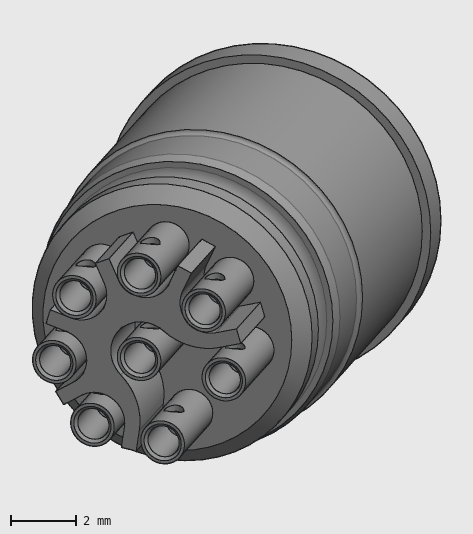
import cadquery as cq
import math


total_length = 14.75
flange_start = 13.66
body_start = 7.35
body_relief_radius = 0.15
taper_end = 5.45
sleeve_start = 5.05
rim_back = 4.16
insulator_face = 3.0
spider_end = 0.45

flange_diameter = 10.45
body_diameter = 9.9
sleeve_diameter = 9.6
groove_diameter = 8.0
rim_diameter = 9
sleeve_taper_angle = 15

pin_diameter = 1.4
bore_diameter = 1.0
bore_mouth_diameter = 1.2
bore_depth = 2.0
bore_floor_angle = 160
solder_hole_diameter = 0.6
solder_hole_position = 1.2
pin_circle_diameter = 5.5
pin_circle_radius = pin_circle_diameter / 2
pin_spacing = 49
top_pin_angle = 90
outer_pin_count = 7
first_pin_step = -2
pin_root_overlap = 0.3

pocket_radius = 0.9
spider_radius = 3.2
center_clearance_radius = 1.05
blend_radius = 2.0
first_arm_angle = top_pin_angle - 1.5 * pin_spacing
pocket_count = 5

arm_half_width = pin_circle_radius * math.sin(math.radians(pin_spacing / 2)) - pocket_radius
arm_tip = math.sqrt(spider_radius**2 - arm_half_width**2)


def polar(radius, angle):
    """Point in the X-Z plane at an angle from +X toward +Z."""
    return radius * math.cos(math.radians(angle)), radius * math.sin(math.radians(angle))


def arm_point(angle, along, across):
    """Point in the X-Z plane placed along and counterclockwise across an arm."""
    along_x, along_z = polar(along, angle)
    across_x, across_z = polar(across, angle + 90)
    return along_x + across_x, along_z + across_z


def make_shell():
    """Solid of revolution: flange, body, sleeve, sealing groove and chamfered rim."""
    flange_radius = flange_diameter / 2
    body_radius = body_diameter / 2
    sleeve_radius = sleeve_diameter / 2
    groove_radius = groove_diameter / 2
    rim_radius = rim_diameter / 2
    rim_chamfer = rim_radius - groove_radius
    groove_fillet = rim_chamfer
    taper_drop = (taper_end - sleeve_start) * math.tan(math.radians(sleeve_taper_angle))
    diagonal = math.sqrt(0.5)
    relief = body_relief_radius
    profile = (
        cq.Workplane("XY")
        .moveTo(0, insulator_face)
        .lineTo(groove_radius, insulator_face)
        .lineTo(rim_radius, insulator_face + rim_chamfer)
        .lineTo(rim_radius, rim_back)
        .lineTo(groove_radius, rim_back)
        .lineTo(groove_radius, sleeve_start - groove_fillet)
        .threePointArc(
            (
                groove_radius + groove_fillet * (1 - diagonal),
                sleeve_start - groove_fillet * (1 - diagonal),
            ),
            (groove_radius + groove_fillet, sleeve_start),
        )
        .lineTo(sleeve_radius - taper_drop, sleeve_start)
        .lineTo(sleeve_radius, taper_end)
        .lineTo(sleeve_radius, body_start - relief)
        .threePointArc(
            (sleeve_radius + relief * (1 - diagonal), body_start - relief * (1 - diagonal)),
            (body_radius, body_start),
        )
        .lineTo(body_radius, flange_start)
        .lineTo(flange_radius, flange_start)
        .lineTo(flange_radius, total_length)
        .lineTo(0, total_length)
        .close()
    )
    return profile.revolve(360, (0, 0, 0), (0, 1, 0))


def make_spider():
    """Star of arms with a round pocket per pin and one open side beyond the center pin."""
    last_arm_angle = first_arm_angle + pocket_count * pin_spacing
    tangent_along = pin_circle_radius * math.cos(math.radians(pin_spacing / 2))

    outline = cq.Workplane("XZ").moveTo(*arm_point(first_arm_angle, arm_tip, -arm_half_width))
    outline = outline.lineTo(*arm_point(first_arm_angle, arm_tip, arm_half_width))
    for index in range(pocket_count):
        arm = first_arm_angle + index * pin_spacing
        next_arm = arm + pin_spacing
        outline = (
            outline.lineTo(*arm_point(arm, tangent_along, arm_half_width))
            .threePointArc(
                polar(pin_circle_radius - pocket_radius, arm + pin_spacing / 2),
                arm_point(next_arm, tangent_along, -arm_half_width),
            )
            .lineTo(*arm_point(next_arm, arm_tip, -arm_half_width))
            .lineTo(*arm_point(next_arm, arm_tip, arm_half_width))
        )

    center_distance = center_clearance_radius + blend_radius
    blend_across = blend_radius - arm_half_width
    blend_along = math.sqrt(center_distance**2 - blend_across**2)
    blend_turn = math.degrees(math.atan2(blend_across, blend_along))
    touch_first = first_arm_angle + blend_turn
    touch_last = last_arm_angle - blend_turn

    toward_arm = 270
    toward_axis = 180 + blend_turn
    middle_angle = (toward_arm + toward_axis) / 2
    middle_along = blend_along + blend_radius * math.cos(math.radians(middle_angle))
    middle_across = blend_across + blend_radius * math.sin(math.radians(middle_angle))

    outline = (
        outline.lineTo(*arm_point(last_arm_angle, blend_along, arm_half_width))
        .threePointArc(
            arm_point(last_arm_angle, middle_along, -middle_across),
            polar(center_clearance_radius, touch_last),
        )
        .threePointArc(
            polar(center_clearance_radius, (touch_first + touch_last) / 2),
            polar(center_clearance_radius, touch_first),
        )
        .threePointArc(
            arm_point(first_arm_angle, middle_along, middle_across),
            arm_point(first_arm_angle, blend_along, -arm_half_width),
        )
        .close()
    )
    return outline.extrude(-(insulator_face - spider_end)).translate((0, spider_end, 0))


def make_pin():
    """Solder-cup pin on the Y axis with a chamfered bore, a shallow conical bore floor and a side hole."""
    pin_radius = pin_diameter / 2
    bore_radius = bore_diameter / 2
    mouth_radius = bore_mouth_diameter / 2
    mouth_chamfer = mouth_radius - bore_radius
    tip_depth = bore_radius / math.tan(math.radians(bore_floor_angle / 2))
    pin_length = insulator_face + pin_root_overlap
    pin = (
        cq.Workplane("XY")
        .moveTo(mouth_radius, 0)
        .lineTo(pin_radius, 0)
        .lineTo(pin_radius, pin_length)
        .lineTo(0, pin_length)
        .lineTo(0, bore_depth + tip_depth)
        .lineTo(bore_radius, bore_depth)
        .lineTo(bore_radius, mouth_chamfer)
        .close()
        .revolve(360, (0, 0, 0), (0, 1, 0))
    )
    solder_hole = (
        cq.Workplane("XY")
        .center(0, solder_hole_position)
        .circle(solder_hole_diameter / 2)
        .extrude(pin_diameter)
    )
    return pin.cut(solder_hole)


pin_positions = [(0, 0)]
for step in range(first_pin_step, first_pin_step + outer_pin_count):
    pin_positions.append(polar(pin_circle_radius, top_pin_angle + step * pin_spacing))

result = make_shell().union(make_spider())
contact_pin = make_pin()
for pin_x, pin_z in pin_positions:
    result = result.union(contact_pin.translate((pin_x, 0, pin_z)))